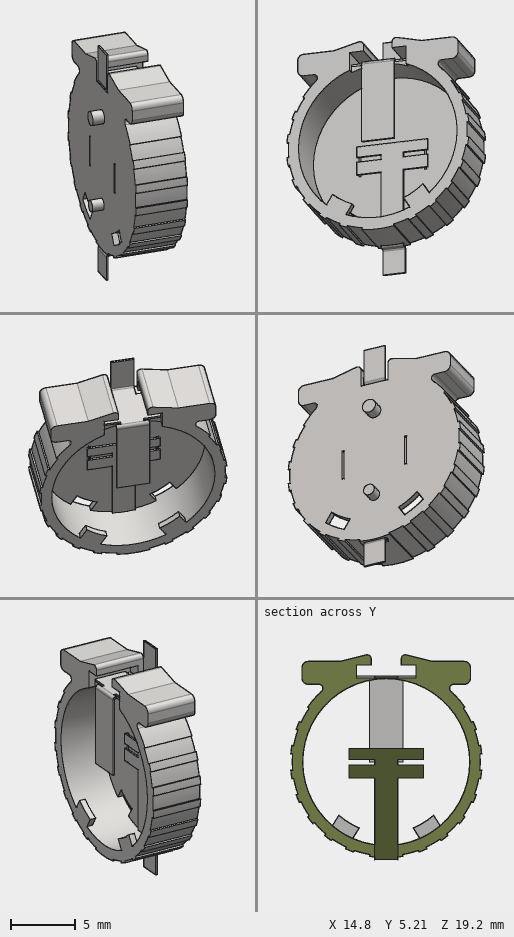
import cadquery as cq
import math


WIDTH = 14.75
DEPTH = 4.25
GROOVE_PITCH = 15.0
GROOVE_ANGLE = 9.8
GROOVE_COUNT = 8
RIM_R = WIDTH / 2 / math.cos(math.radians(GROOVE_ANGLE / 2))
GROOVE_R = 7.25
FRONT_WALL = 0.5
CAVITY_R = 6.43

WING_X = 6.5
WING_BOTTOM = 6.0
WING_TOP = 7.78
WING_R = 0.5
NECK_R = 0.3
RISE_X = 3.55
PEAK_Z = 8.37
PEAK_R = 0.33
SLOT_X = 1.15
SLOT_FLOOR = 6.49

POCKET_X = 2.28
POCKET_TOP = 7.47

PEG_LENGTH = 0.96
PEGS = [(3.95, 0.55), (-3.5, 0.46)]

SLIT_X = 2.67
SLIT_WIDTH = 0.17
SLIT_TOP = 1.11
SLIT_BOTTOM = -1.36
WINDOW_INNER_R = 5.5
WINDOW_LENGTH = 1.86
WINDOW_ANGLE = 32.0
CATCH_DEPTH = 0.5

SHEET = 0.15
BEND_R = 0.25
TAB_WIDTH = 1.8
TAB_TOP = 9.6
TAB_BOTTOM = -TAB_TOP

PLATE_FRONT = 0.98
PLATE_BACK = 3.7
LEAF_FRONT = 3.94
LEAF_X = 1.3
LEAF_BOTTOM = 0.0

BAR_X = 2.88
BARS = [(-1.25, -0.21), (0.2, 1.05)]
HEEL_R = 0.12


def box(x0, x1, y0, y1, z0, z1):
    return cq.Workplane("XY").box(x1 - x0, y1 - y0, z1 - z0, centered=False).translate((x0, y0, z0))


def front_sketch(y):
    """Workplane in the plane at y, with local axes along X and Z; extrusions run towards -Y."""
    return cq.Workplane("XZ", origin=(0, y, 0))


def fillet_at(body, axis, radius, points):
    """Round the edges along the given axis that pass nearest to the points."""
    for point in points:
        edge = body.edges("|" + axis).edges(cq.selectors.NearestToPointSelector(point))
        body = edge.fillet(radius)
    return body


def polar(radius, angle):
    """X and Z of a point at an angle in degrees from straight down."""
    return radius * math.sin(math.radians(angle)), -radius * math.cos(math.radians(angle))


def rim_groove(angle):
    """Shallow groove along the full depth of the rim."""
    outer_r = RIM_R + 0.2
    start = angle - GROOVE_ANGLE / 2
    end = angle + GROOVE_ANGLE / 2
    return (
        front_sketch(DEPTH)
        .moveTo(*polar(GROOVE_R, start))
        .threePointArc(polar(GROOVE_R, angle), polar(GROOVE_R, end))
        .lineTo(*polar(outer_r, end))
        .threePointArc(polar(outer_r, angle), polar(outer_r, start))
        .close()
        .extrude(DEPTH)
    )


def make_shell():
    """Grooved disc with the head on top."""
    shell = front_sketch(DEPTH).circle(RIM_R).extrude(DEPTH)
    for step in range(1, GROOVE_COUNT + 1):
        for side in (-1, 1):
            shell = shell.cut(rim_groove(side * step * GROOVE_PITCH))

    half_head = [
        (SLOT_X, WING_BOTTOM),
        (WING_X, WING_BOTTOM),
        (WING_X, WING_TOP),
        (RISE_X, WING_TOP),
        (SLOT_X, PEAK_Z),
        (SLOT_X, SLOT_FLOOR),
    ]
    left_half = [(-x, z) for x, z in reversed(half_head)]
    shell = shell.union(front_sketch(DEPTH).polyline(half_head + left_half).close().extrude(DEPTH))
    shell = shell.cut(box(-SLOT_X, SLOT_X, 0, DEPTH, SLOT_FLOOR, PEAK_Z))

    mid = DEPTH / 2
    neck_x = math.sqrt(RIM_R**2 - WING_BOTTOM**2)
    for side in (-1, 1):
        wing_corners = [(side * WING_X, mid, WING_BOTTOM), (side * WING_X, mid, WING_TOP)]
        shell = fillet_at(shell, "Y", WING_R, wing_corners)
        shell = fillet_at(shell, "Y", NECK_R, [(side * neck_x, mid, WING_BOTTOM)])
        shell = fillet_at(shell, "Y", PEAK_R, [(side * SLOT_X, mid, PEAK_Z)])
    return shell


def curved_block(side, back, depth):
    """Piece of a ring along the cavity wall, with parallel ends; it outlines a window or a catch."""
    ring = front_sketch(back).circle(CAVITY_R).circle(WINDOW_INNER_R).extrude(depth)
    half = WINDOW_LENGTH / 2
    strip = box(-half, half, back - depth, back, -CAVITY_R - 0.2, 0)
    strip = strip.rotate((0, 0, 0), (0, 1, 0), -side * WINDOW_ANGLE)
    return ring.intersect(strip)


def make_housing():
    housing = make_shell()

    housing = housing.cut(front_sketch(DEPTH).circle(CAVITY_R).extrude(DEPTH - FRONT_WALL))
    housing = housing.cut(box(-POCKET_X, POCKET_X, FRONT_WALL, DEPTH, SLOT_FLOOR, POCKET_TOP))

    half_tab = TAB_WIDTH / 2
    housing = housing.cut(box(-POCKET_X, POCKET_X, PLATE_BACK, DEPTH, 0, SLOT_FLOOR))
    housing = housing.cut(box(-half_tab, half_tab, FRONT_WALL, FRONT_WALL + SHEET, -RIM_R, 0))

    for side in (-1, 1):
        slit_start = side * SLIT_X - SLIT_WIDTH / 2
        slit_end = slit_start + SLIT_WIDTH
        housing = housing.cut(box(slit_start, slit_end, 0, FRONT_WALL, SLIT_BOTTOM, SLIT_TOP))
        housing = housing.cut(curved_block(side, FRONT_WALL, FRONT_WALL))
        housing = housing.union(curved_block(side, DEPTH, CATCH_DEPTH))

    for height, radius in PEGS:
        housing = housing.union(front_sketch(0).center(0, height).circle(radius).extrude(PEG_LENGTH))
    return housing


def make_positive_contact():
    """Plate on the slot floor, with a tab bent up at the front and a leaf bent down at the back."""
    half_tab = TAB_WIDTH / 2
    top = SLOT_FLOOR + SHEET
    inner_r = BEND_R - SHEET

    tab = box(-half_tab, half_tab, 0, SHEET, SLOT_FLOOR, TAB_TOP)
    tab = tab.union(box(-half_tab, half_tab, 0, PLATE_FRONT, SLOT_FLOOR, top))
    tab = fillet_at(tab, "X", BEND_R, [(0, 0, SLOT_FLOOR)])
    tab = fillet_at(tab, "X", inner_r, [(0, SHEET, top)])

    plate = box(-POCKET_X, POCKET_X, PLATE_FRONT, PLATE_BACK, SLOT_FLOOR, top)
    neck = box(-half_tab, half_tab, PLATE_BACK, LEAF_FRONT, SLOT_FLOOR, top)

    leaf = box(-LEAF_X, LEAF_X, DEPTH - SHEET, DEPTH, LEAF_BOTTOM, top)
    leaf = leaf.union(box(-LEAF_X, LEAF_X, LEAF_FRONT, DEPTH, SLOT_FLOOR, top))
    leaf = fillet_at(leaf, "X", BEND_R, [(0, DEPTH, top)])
    leaf = fillet_at(leaf, "X", inner_r, [(0, DEPTH - SHEET, SLOT_FLOOR)])
    return tab.union(plate).union(neck).union(leaf)


def make_negative_contact():
    """Stem and cross bars behind the front wall; the tab is bent forward and down below the rim."""
    half_tab = TAB_WIDTH / 2
    back = FRONT_WALL + SHEET
    foot_top = -RIM_R
    foot_bottom = foot_top - SHEET
    stem_top = BARS[-1][1]

    contact = box(-half_tab, half_tab, FRONT_WALL, back, foot_bottom, stem_top)
    contact = contact.union(box(-half_tab, half_tab, 0, back, foot_bottom, foot_top))
    contact = contact.union(box(-half_tab, half_tab, 0, SHEET, TAB_BOTTOM, foot_top))
    contact = fillet_at(contact, "X", BEND_R, [(0, 0, foot_top)])
    contact = fillet_at(contact, "X", BEND_R - SHEET, [(0, SHEET, foot_bottom)])
    contact = fillet_at(contact, "X", HEEL_R, [(0, back, foot_bottom)])

    for bottom, top in BARS:
        contact = contact.union(box(-BAR_X, BAR_X, FRONT_WALL, back, bottom, top))
    return contact


housing = make_housing()
positive_contact = make_positive_contact()
negative_contact = make_negative_contact()

result = cq.Compound.makeCompound(
    [body.solids().val() for body in (housing, positive_contact, negative_contact)]
)